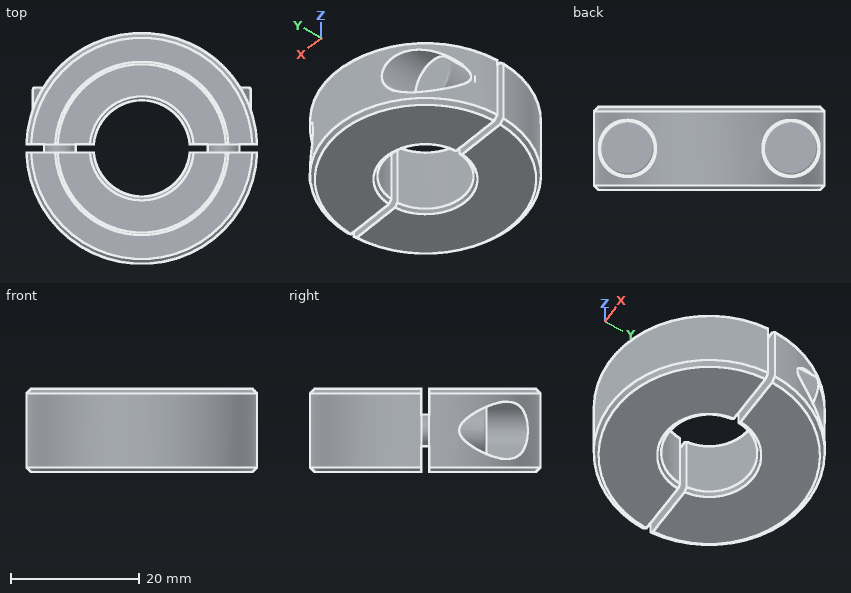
import cadquery as cq


OUTER_RADIUS = 18.0
BORE_RADIUS = 7.5
WIDTH = 13.0
SPLIT_GAP = 1.22
OUTER_CHAMFER = 0.75
BORE_CHAMFER = 0.6

GROOVE_CENTER_RADIUS = 13.32
GROOVE_SECTION_RADIUS = 0.198

SCREW_OFFSET = 12.75
SHANK_DIAMETER = 5.0
SHANK_RADIUS = SHANK_DIAMETER / 2
HEAD_RADIUS = 4.25
HEAD_LENGTH = SHANK_DIAMETER
HEAD_FILLET = 0.45
HEAD_TOP_Y = 9.5
SEAT_Y = HEAD_TOP_Y - HEAD_LENGTH
SHANK_LENGTH = 12.0
SCREW_TIP_Y = SEAT_Y - SHANK_LENGTH
COUNTERBORE_RADIUS = 4.45

SIDES = (-1, 1)


def cylinder_along_y(x, start_y, end_y, radius):
    """Cylinder at mid-width of the ring, from start_y up to end_y."""
    base = cq.Plane(origin=(x, start_y, 0), xDir=(1, 0, 0), normal=(0, 1, 0))
    return cq.Workplane(base).circle(radius).extrude(end_y - start_y)


def groove_cutter():
    """Torus centred on the upper face."""
    section = cq.Workplane("XZ").center(GROOVE_CENTER_RADIUS, WIDTH / 2).circle(GROOVE_SECTION_RADIUS)
    return section.revolve(360, (-GROOVE_CENTER_RADIUS, 0), (-GROOVE_CENTER_RADIUS, 1))


def full_ring():
    """Ring chamfered at all four edges and grooved on top, before it is split."""
    disc = cq.Workplane("XY").circle(OUTER_RADIUS).extrude(WIDTH / 2, both=True)
    disc = disc.edges("%CIRCLE").chamfer(OUTER_CHAMFER)
    ring = disc.faces(">Z").workplane().hole(2 * BORE_RADIUS)
    bore_edges = ring.edges("%CIRCLE").edges(cq.selectors.RadiusNthSelector(0))
    return bore_edges.chamfer(BORE_CHAMFER).cut(groove_cutter())


def half_ring(side):
    """Half of the ring on the given side of the split (1 for +Y, -1 for -Y), without screw holes."""
    depth = OUTER_RADIUS - SPLIT_GAP / 2
    keep = cq.Workplane("XY").box(2 * OUTER_RADIUS, depth, WIDTH)
    keep = keep.translate((0, side * (SPLIT_GAP + depth) / 2, 0))
    return full_ring().intersect(keep)


def make_screw(x):
    """Cap screw with its head towards +Y."""
    head = cylinder_along_y(x, SEAT_Y, HEAD_TOP_Y, HEAD_RADIUS)
    head = head.faces(">Y").edges().fillet(HEAD_FILLET)
    shank = cylinder_along_y(x, SCREW_TIP_Y, SEAT_Y, SHANK_RADIUS)
    return head.union(shank)


def make_head_half():
    """Rear half, with a through hole and counterbore for each screw."""
    half = half_ring(1)
    for side in SIDES:
        x = side * SCREW_OFFSET
        half = half.cut(cylinder_along_y(x, 0, SEAT_Y, SHANK_RADIUS))
        half = half.cut(cylinder_along_y(x, SEAT_Y, OUTER_RADIUS, COUNTERBORE_RADIUS))
    return half


def make_threaded_half():
    """Front half, with a blind hole that takes the end of each screw."""
    half = half_ring(-1)
    for side in SIDES:
        x = side * SCREW_OFFSET
        half = half.cut(cylinder_along_y(x, SCREW_TIP_Y, 0, SHANK_RADIUS))
    return half


head_half = make_head_half()
threaded_half = make_threaded_half()
screws = [make_screw(side * SCREW_OFFSET) for side in SIDES]

result = cq.Compound.makeCompound(
    [head_half.val(), threaded_half.val(), *[screw.val() for screw in screws]]
)